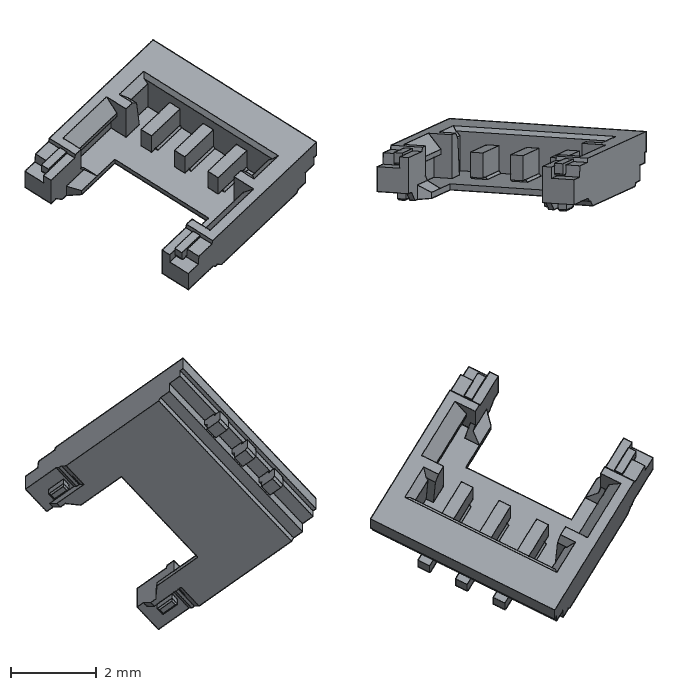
import cadquery as cq

BODY_WIDTH = 4.9
HALF_WIDTH = BODY_WIDTH / 2
BODY_LENGTH = 4.73
BODY_HEIGHT = 1.18
FLOOR_TOP = 0.145

ARM_INNER_X = 1.665
ARM_BOTTOM = 0.23
ARM_TOP = 1.085
ARM_STEP_TOP_Y = 0.90
ARM_STEP_BOTTOM_Y = 0.87

UNDERSIDE_RISE_Y = 1.22
UNDERSIDE_STEP_BACK_Y = 1.08
UNDERSIDE_STEP_FRONT_Y = 1.0
UNDERSIDE_TOP_Y = 0.92

FOOT_OUTER_X = 1.795
FOOT_BOTTOM_Y = 0.41
FOOT_TOP_Y = 0.19

REAR_LEDGE_Z = 0.70
REAR_LEDGE_Y = 4.64
REAR_NOTCH_Z = 0.45
REAR_NOTCH_Y = 4.325
HEEL_Z = 0.085
HEEL_Y = 4.06
HEEL_CHAMFER = 0.06

CAVITY_BACK_Y = 3.75
CAVITY_BACK_BEVEL_Y = 0.10
CAVITY_BACK_BEVEL_Z = 0.10
REAR_BAY_X = 1.815
REAR_BAY_BEVEL = 0.205
RIB_INNER_X = 1.622
RIB_FRONT_Y = 2.71
RIB_TOP_BACK_Y = 2.95
RIB_BEVEL = 0.15
RIB_FOOT_BACK_Y = 3.20

SIDE_BAY_FRONT_Y = 1.105
SIDE_BAY_TOP_X = 2.205
LIP_INNER_X = 1.895
LIP_SLOPE_BOTTOM = 0.82
LIP_BOTTOM = 0.70
UNDERCUT_X = 2.07

SLOT_HALF_WIDTH = 1.405
SLOT_BACK_Y = 2.03
LEDGE_RAMP_BACK_Y = 1.38
LEDGE_RAMP_CREST_Y = 1.21
LEDGE_CREST_Z = 0.345
LEDGE_TIP_INNER_Y = 0.81
LEDGE_TIP_OUTER_Y = 0.56

CONTACT_COUNT = 3
CONTACT_PITCH = 1.0
CONTACT_WIDTH = 0.31
CONTACT_FRONT_Y = 2.695
CONTACT_BOTTOM = 0.205
CONTACT_TOP = 0.80
CONTACT_BASE_WIDTH = 0.40
CONTACT_BASE_FRONT_Y = 2.87

SOLDER_PLANE_Z = -0.02

TAIL_BACK_Y = 4.79
TAIL_TOP = 0.39
TAIL_NECK_Y = 4.61
TAIL_FRONT_Y = 4.40
TAIL_CHAMFER = 0.06
TAIL_THROAT_Z = 0.19
TAIL_THROAT_TOP_Z = 0.26

NAIL_OUTER_X = HALF_WIDTH - 0.345
NAIL_INNER_X = HALF_WIDTH - 0.555
NAIL_BACK_Y = 0.86
NAIL_FRONT_Y = 0.185
NAIL_TOP = 1.145
NAIL_TIP_Z = 0.86
NAIL_TIP_CHAMFER = 0.045
NAIL_PAD_FRONT_Y = 0.415
NAIL_PAD_CHAMFER = 0.04
RECESS_FLOOR_Z = 0.82
RECESS_BACK_Y = 0.365
RECESS_TOP_BACK_Y = 0.39


def box(x0, x1, y0, y1, z0, z1):
    """Box between two opposite corners."""
    return cq.Workplane("XY").box(x1 - x0, y1 - y0, z1 - z0, centered=False).translate((x0, y0, z0))


def side_prism(points, x0, x1):
    """Prism along X with a (y, z) outline."""
    return cq.Workplane("YZ").polyline(points).close().extrude(x1 - x0).translate((x0, 0, 0))


def front_prism(points, y0, y1):
    """Prism along Y with an (x, z) outline."""
    return cq.Workplane("XZ").polyline(points).close().extrude(y0 - y1).translate((0, y0, 0))


def both_sides(shape):
    """The shape together with its mirror image across X = 0."""
    return shape.union(shape.mirror("YZ"))


def housing_block():
    """Full-width block with the side outline of the housing."""
    outline = [
        (0, ARM_BOTTOM),
        (UNDERSIDE_TOP_Y, ARM_BOTTOM),
        (UNDERSIDE_STEP_FRONT_Y, FLOOR_TOP),
        (UNDERSIDE_STEP_BACK_Y, FLOOR_TOP),
        (UNDERSIDE_RISE_Y, 0),
        (HEEL_Y - HEEL_CHAMFER, 0),
        (HEEL_Y, HEEL_Z),
        (REAR_NOTCH_Y, HEEL_Z),
        (REAR_NOTCH_Y, REAR_NOTCH_Z),
        (REAR_LEDGE_Y, REAR_NOTCH_Z),
        (REAR_LEDGE_Y, REAR_LEDGE_Z),
        (BODY_LENGTH, REAR_LEDGE_Z),
        (BODY_LENGTH, BODY_HEIGHT),
        (ARM_STEP_TOP_Y, BODY_HEIGHT),
        (ARM_STEP_BOTTOM_Y, ARM_TOP),
        (0, ARM_TOP),
    ]
    return side_prism(outline, -HALF_WIDTH, HALF_WIDTH)


def cavity():
    """Space above the floor: central opening, rear bays and side bays."""
    centre = side_prism(
        [
            (0, 0),
            (SLOT_BACK_Y, 0),
            (SLOT_BACK_Y, FLOOR_TOP),
            (CAVITY_BACK_Y, FLOOR_TOP),
            (CAVITY_BACK_Y, BODY_HEIGHT),
            (0, BODY_HEIGHT),
        ],
        -SLOT_HALF_WIDTH,
        SLOT_HALF_WIDTH,
    )
    arm_gap = box(-ARM_INNER_X, ARM_INNER_X, 0, SIDE_BAY_FRONT_Y, 0, BODY_HEIGHT)
    rib_gap = box(-RIB_INNER_X, RIB_INNER_X, SIDE_BAY_FRONT_Y, CAVITY_BACK_Y, FLOOR_TOP, BODY_HEIGHT)
    return centre.union(arm_gap).union(rib_gap).union(rear_bays()).union(both_sides(side_bay()))


def rear_bays():
    """Bays behind the ribs, bevelled along the rear, the sides and the ribs."""
    bevel_bottom = BODY_HEIGHT - REAR_BAY_BEVEL
    bay_top_x = REAR_BAY_X + REAR_BAY_BEVEL
    across = front_prism(
        [
            (-REAR_BAY_X, FLOOR_TOP),
            (REAR_BAY_X, FLOOR_TOP),
            (REAR_BAY_X, bevel_bottom),
            (bay_top_x, BODY_HEIGHT),
            (-bay_top_x, BODY_HEIGHT),
            (-REAR_BAY_X, bevel_bottom),
        ],
        RIB_FRONT_Y,
        BODY_LENGTH,
    )
    along = side_prism(
        [
            (RIB_FOOT_BACK_Y, FLOOR_TOP),
            (CAVITY_BACK_Y, FLOOR_TOP),
            (CAVITY_BACK_Y, BODY_HEIGHT - CAVITY_BACK_BEVEL_Z),
            (CAVITY_BACK_Y + CAVITY_BACK_BEVEL_Y, BODY_HEIGHT),
            (RIB_TOP_BACK_Y, BODY_HEIGHT),
            (RIB_TOP_BACK_Y + RIB_BEVEL, BODY_HEIGHT - RIB_BEVEL),
        ],
        -HALF_WIDTH,
        HALF_WIDTH,
    )
    return across.intersect(along)


def side_bay():
    """Bay between rib and arm on the +X side, under its sloped lip."""
    outline = [
        (0, FLOOR_TOP),
        (UNDERCUT_X, FLOOR_TOP),
        (UNDERCUT_X, LIP_BOTTOM),
        (LIP_INNER_X, LIP_BOTTOM),
        (LIP_INNER_X, LIP_SLOPE_BOTTOM),
        (SIDE_BAY_TOP_X, BODY_HEIGHT),
        (0, BODY_HEIGHT),
    ]
    return front_prism(outline, SIDE_BAY_FRONT_Y, RIB_FRONT_Y)


def ledge():
    """Raised ledge and foot on the +X side, sloping down towards the slot and the rear."""
    slope = (LEDGE_CREST_Z - FLOOR_TOP) / (LEDGE_RAMP_BACK_Y - LEDGE_RAMP_CREST_Y)
    ramp_end_z = FLOOR_TOP + slope * (LEDGE_RAMP_BACK_Y - SIDE_BAY_FRONT_Y)
    side = side_prism(
        [
            (FOOT_TOP_Y, ARM_BOTTOM),
            (FOOT_BOTTOM_Y, 0),
            (SLOT_BACK_Y, 0),
            (SLOT_BACK_Y, FLOOR_TOP),
            (LEDGE_RAMP_BACK_Y, FLOOR_TOP),
            (SIDE_BAY_FRONT_Y, ramp_end_z),
            (FOOT_TOP_Y, ramp_end_z),
        ],
        SLOT_HALF_WIDTH,
        FOOT_OUTER_X,
    )
    section = front_prism(
        [
            (SLOT_HALF_WIDTH, 0),
            (FOOT_OUTER_X, 0),
            (FOOT_OUTER_X, BODY_HEIGHT),
            (ARM_INNER_X, BODY_HEIGHT),
            (ARM_INNER_X, LEDGE_CREST_Z),
            (SLOT_HALF_WIDTH, FLOOR_TOP),
        ],
        0,
        SLOT_BACK_Y,
    )
    plan = (
        cq.Workplane("XY")
        .polyline(
            [
                (SLOT_HALF_WIDTH, SLOT_BACK_Y),
                (SLOT_HALF_WIDTH, LEDGE_TIP_INNER_Y),
                (ARM_INNER_X, LEDGE_TIP_OUTER_Y),
                (ARM_INNER_X, 0),
                (FOOT_OUTER_X, 0),
                (FOOT_OUTER_X, SLOT_BACK_Y),
            ]
        )
        .close()
        .extrude(BODY_HEIGHT)
    )
    return side.intersect(section).intersect(plan)


def corner_recess():
    """Recess in the top front corner of the +X arm."""
    outline = [
        (0, RECESS_FLOOR_Z),
        (RECESS_BACK_Y, RECESS_FLOOR_Z),
        (RECESS_TOP_BACK_Y, ARM_TOP),
        (0, ARM_TOP),
    ]
    return side_prism(outline, NAIL_INNER_X, HALF_WIDTH)


def nail():
    """Hold-down nail of the +X arm: hooked strap on top and solder pad below."""
    strap = side_prism(
        [
            (NAIL_BACK_Y, ARM_TOP),
            (NAIL_BACK_Y, NAIL_TOP),
            (NAIL_FRONT_Y, NAIL_TOP),
            (NAIL_FRONT_Y, NAIL_TIP_Z + NAIL_TIP_CHAMFER),
            (NAIL_FRONT_Y + NAIL_TIP_CHAMFER, NAIL_TIP_Z),
            (RECESS_BACK_Y, NAIL_TIP_Z),
            (RECESS_TOP_BACK_Y, ARM_TOP),
        ],
        NAIL_INNER_X,
        NAIL_OUTER_X,
    )
    pad = box(NAIL_INNER_X, NAIL_OUTER_X, NAIL_PAD_FRONT_Y, NAIL_BACK_Y, SOLDER_PLANE_Z, ARM_BOTTOM)
    pad = pad.faces("<Z").chamfer(NAIL_PAD_CHAMFER)
    return strap.union(pad)


def contact():
    """Contact centred on X = 0: blade, flared base in the cavity and solder tail at the rear."""
    half = CONTACT_WIDTH / 2
    half_base = CONTACT_BASE_WIDTH / 2
    blade = box(-half, half, CONTACT_FRONT_Y, CAVITY_BACK_Y, CONTACT_BOTTOM, CONTACT_TOP)
    base = front_prism(
        [
            (-half_base, FLOOR_TOP),
            (half_base, FLOOR_TOP),
            (half, CONTACT_BOTTOM),
            (-half, CONTACT_BOTTOM),
        ],
        CONTACT_BASE_FRONT_Y,
        CAVITY_BACK_Y,
    )
    tail = side_prism(
        [
            (REAR_NOTCH_Y, REAR_NOTCH_Z),
            (TAIL_NECK_Y, REAR_NOTCH_Z),
            (TAIL_NECK_Y, TAIL_TOP),
            (TAIL_BACK_Y, TAIL_TOP),
            (TAIL_BACK_Y, SOLDER_PLANE_Z + TAIL_CHAMFER),
            (TAIL_BACK_Y - TAIL_CHAMFER, SOLDER_PLANE_Z),
            (TAIL_FRONT_Y, SOLDER_PLANE_Z),
            (TAIL_FRONT_Y, TAIL_THROAT_Z),
            (REAR_NOTCH_Y, TAIL_THROAT_TOP_Z),
        ],
        -half,
        half,
    )
    return blade.union(base).union(tail)


result = (
    housing_block()
    .cut(cavity())
    .cut(both_sides(corner_recess()))
    .union(both_sides(ledge()))
    .union(both_sides(nail()))
)
for index in range(CONTACT_COUNT):
    contact_x = (index - (CONTACT_COUNT - 1) / 2) * CONTACT_PITCH
    result = result.union(contact().translate((contact_x, 0, 0)))